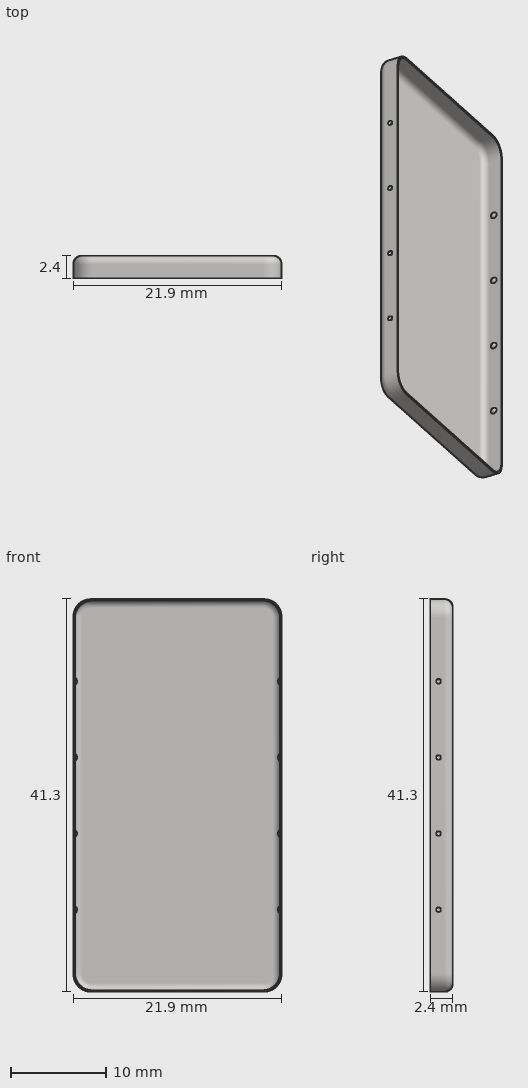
import cadquery as cq

width = 21.9
depth = 2.4
height = 41.3
wall = 0.2
corner_radius = 1.9
edge_radius = 0.9

dimple_count = 4
dimple_pitch = 8.0
dimple_from_mouth = 0.9
dimple_radius = 0.25
dimple_depth = 0.2
bump_radius = 0.35
bump_height = dimple_depth
bump_root = wall / 2

mouth_y = -depth / 2
dimple_y = mouth_y + dimple_from_mouth
first_dimple_z = -dimple_pitch * (dimple_count - 1) / 2


def rounded_block(inset):
    """Block inset from the outer skin everywhere except at the mouth."""
    return (
        cq.Workplane("XZ", origin=(0, mouth_y, 0))
        .rect(width - 2 * inset, height - 2 * inset)
        .extrude(-(depth - inset))
        .edges("|Y")
        .fillet(corner_radius - inset)
        .faces(">Y")
        .edges()
        .fillet(edge_radius - inset)
    )


def inward_dome(base_x, z, radius, rise, root=0):
    """Spherical cap rising toward X = 0 from a round base at base_x.

    A root adds a cylinder of the same radius and of that length behind the base.
    """
    inward = -1 if base_x > 0 else 1
    sphere_radius = (radius**2 + rise**2) / (2 * rise)
    middle_rise = rise / 2
    middle_radius = (sphere_radius**2 - (sphere_radius - middle_rise) ** 2) ** 0.5
    back_x = -inward * root
    profile = cq.Workplane("XY", origin=(base_x, dimple_y, z)).moveTo(back_x, 0)
    if root > 0:
        profile = profile.lineTo(back_x, radius)
    return (
        profile.lineTo(0, radius)
        .threePointArc((inward * middle_rise, middle_radius), (inward * rise, 0))
        .close()
        .revolve(360, (0, 0, 0), (1, 0, 0))
    )


def add_dimple(body, side, z):
    """Press one dimple into the long rim on the given side (-1 or 1), with its inner bump."""
    outer_x = side * width / 2
    inner_x = side * (width / 2 - wall)
    bump = inward_dome(inner_x, z, bump_radius, bump_height, bump_root)
    dimple = inward_dome(outer_x, z, dimple_radius, dimple_depth)
    return body.union(bump).cut(dimple)


result = rounded_block(0).cut(rounded_block(wall))
for rim_side in (-1, 1):
    for index in range(dimple_count):
        result = add_dimple(result, rim_side, first_dimple_z + index * dimple_pitch)